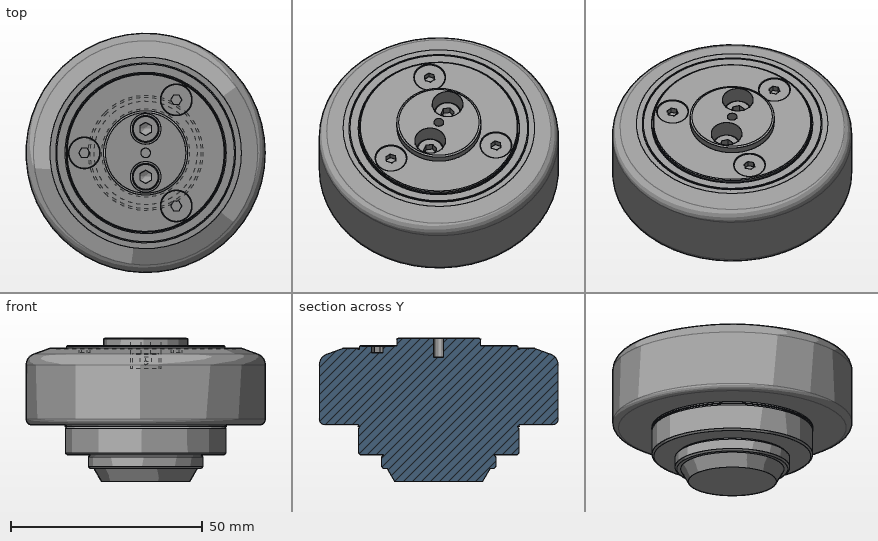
import cadquery as cq
import math

TOTAL_HEIGHT = 37.5
CONE_TOP = 3.45
FLANGE_TOP = 7.0
HUB_TOP = 14.45
TYRE_BOTTOM = 14.8
TYRE_TOP = 34.9
PLATE_TOP = 35.5

TYRE_RADIUS = 31.25
SHOULDER_INNER_RADIUS = 25.0
SHOULDER_SLOPE = math.radians(20)
SHOULDER_ROUND = 3.0
RIM_ROUND = 1.5

COLLAR_RADIUS = 42.1 / 2
HUB_RADIUS = 42.0 / 2
FLANGE_RADIUS = 30.0 / 2
FOOT_TOP_RADIUS = 13.5
FOOT_BOTTOM_RADIUS = 11.5
EDGE_CHAMFER = 0.5
HUB_TOP_CHAMFER_WIDTH = 0.4

PLATE_RADIUS = 41.5 / 2
PLATE_CHAMFER = 0.25
BOSS_RADIUS = 22.0 / 2
BOSS_CHAMFER_WIDTH = 0.5
BOSS_CHAMFER_HEIGHT = 0.2

PLATE_GAP_RADIUS = 42.1 / 2
PLATE_GAP_DEPTH = 0.25

RING_GROOVE_OUTER_RADIUS = 47.0 / 2
RING_GROOVE_WIDTH = 0.3
RING_GROOVE_DEPTH = 0.2

COVER_SCREW_COUNT = 3
COVER_SCREW_CIRCLE_RADIUS = 16.0
COVER_SCREW_HEAD_RADIUS = 8.0 / 2
COVER_SCREW_RIM_RADIUS = 8.3 / 2
COVER_SCREW_HEAD_DEPTH = 0.2
COVER_HEX_FLATS = 2.5
COVER_HEX_DEPTH = 1.6

BOSS_SCREW_OFFSET = 6.25
BOSS_SCREW_HOLE = 8.0
BOSS_SCREW_HEAD = 7.0
BOSS_SCREW_HEAD_HEIGHT = 4.0
BOSS_SCREW_HEAD_DEPTH = 4.0
BOSS_SCREW_CHAMFER = 0.25
BOSS_HEX_FLATS = 3.0
BOSS_HEX_DEPTH = 2.0
BOSS_HEX_TURN = 30
BOSS_HEX_TIP_SLOPE = math.radians(30)

CENTRE_HOLE = 2.5
CENTRE_HOLE_DEPTH = 5.0


def disc(radius, bottom, top):
    return cq.Workplane("XY").workplane(offset=bottom).circle(radius).extrude(top - bottom)


def cone(bottom_radius, top_radius, bottom, top):
    start = cq.Vector(0, 0, bottom)
    return cq.Workplane(cq.Solid.makeCone(bottom_radius, top_radius, top - bottom, start))


def corner_distance(flats):
    """Distance across the corners of a hexagon with the given distance across its flats."""
    return flats / math.cos(math.pi / 6)


def hex_prism(flats, bottom, top):
    corners = corner_distance(flats)
    return cq.Workplane("XY").workplane(offset=bottom).polygon(6, corners).extrude(top - bottom)


def make_tyre():
    """Revolved wheel whose shoulder slope runs tangent into the round."""
    round_centre_radius = TYRE_RADIUS - SHOULDER_ROUND
    slope_end_radius = round_centre_radius + SHOULDER_ROUND * math.sin(SHOULDER_SLOPE)
    slope_end_height = TYRE_TOP - (slope_end_radius - SHOULDER_INNER_RADIUS) * math.tan(SHOULDER_SLOPE)
    round_centre_height = slope_end_height - SHOULDER_ROUND * math.cos(SHOULDER_SLOPE)
    middle_angle = (math.pi / 2 - SHOULDER_SLOPE) / 2
    round_middle = (
        round_centre_radius + SHOULDER_ROUND * math.cos(middle_angle),
        round_centre_height + SHOULDER_ROUND * math.sin(middle_angle),
    )
    return (
        cq.Workplane("XZ")
        .moveTo(0, TYRE_BOTTOM)
        .lineTo(TYRE_RADIUS - RIM_ROUND, TYRE_BOTTOM)
        .radiusArc((TYRE_RADIUS, TYRE_BOTTOM + RIM_ROUND), -RIM_ROUND)
        .lineTo(TYRE_RADIUS, round_centre_height)
        .threePointArc(round_middle, (slope_end_radius, slope_end_height))
        .lineTo(SHOULDER_INNER_RADIUS, TYRE_TOP)
        .lineTo(0, TYRE_TOP)
        .close()
        .revolve(360, (0, 0, 0), (0, 1, 0))
    )


def make_lower_steps():
    foot = cone(FOOT_BOTTOM_RADIUS, FOOT_TOP_RADIUS, 0, CONE_TOP)
    flange = disc(FLANGE_RADIUS, CONE_TOP, FLANGE_TOP).edges().chamfer(EDGE_CHAMFER)
    hub = disc(HUB_RADIUS, FLANGE_TOP, HUB_TOP).faces("<Z").edges().chamfer(EDGE_CHAMFER)
    hub = hub.faces(">Z").edges().chamfer(EDGE_CHAMFER, HUB_TOP_CHAMFER_WIDTH)
    collar = disc(COLLAR_RADIUS, HUB_TOP, TYRE_BOTTOM)
    return foot.union(flange).union(hub).union(collar)


def make_cover_and_boss():
    plate = disc(PLATE_RADIUS, TYRE_TOP, PLATE_TOP).faces(">Z").edges().chamfer(PLATE_CHAMFER)
    boss = (
        disc(BOSS_RADIUS, PLATE_TOP, TOTAL_HEIGHT)
        .faces(">Z")
        .edges()
        .chamfer(BOSS_CHAMFER_HEIGHT, BOSS_CHAMFER_WIDTH)
    )
    return plate.union(boss)


def plate_gap_cut():
    bottom = TYRE_TOP - PLATE_GAP_DEPTH
    return disc(PLATE_GAP_RADIUS, bottom, TYRE_TOP).cut(disc(PLATE_RADIUS, bottom, TYRE_TOP))


def ring_groove_cut():
    bottom = TYRE_TOP - RING_GROOVE_DEPTH
    inner_radius = RING_GROOVE_OUTER_RADIUS - RING_GROOVE_WIDTH
    core = cone(RING_GROOVE_OUTER_RADIUS, inner_radius, bottom, TYRE_TOP)
    return disc(RING_GROOVE_OUTER_RADIUS, bottom, TYRE_TOP).cut(core)


def cover_screw_cut():
    """Countersunk rim down to a flat screw head, with its hexagon socket."""
    head_top = PLATE_TOP - COVER_SCREW_HEAD_DEPTH
    rim = cone(COVER_SCREW_HEAD_RADIUS, COVER_SCREW_RIM_RADIUS, head_top, PLATE_TOP)
    return rim.union(hex_prism(COVER_HEX_FLATS, head_top - COVER_HEX_DEPTH, PLATE_TOP))


def boss_screw_cut():
    """Deep round hole with a socket screw head left standing in it."""
    head_top = TOTAL_HEIGHT - BOSS_SCREW_HEAD_DEPTH
    hole_bottom = head_top - BOSS_SCREW_HEAD_HEIGHT
    hex_bottom = head_top - BOSS_HEX_DEPTH
    head = disc(BOSS_SCREW_HEAD / 2, hole_bottom, head_top).faces(">Z").edges().chamfer(BOSS_SCREW_CHAMFER)
    socket = hex_prism(BOSS_HEX_FLATS, hex_bottom, head_top)
    corner_radius = corner_distance(BOSS_HEX_FLATS) / 2
    tip_depth = corner_radius * math.tan(BOSS_HEX_TIP_SLOPE)
    tip = cone(0, corner_radius, hex_bottom - tip_depth, hex_bottom)
    tip = tip.intersect(hex_prism(BOSS_HEX_FLATS, hex_bottom - tip_depth, hex_bottom))
    socket = socket.union(tip).rotate((0, 0, 0), (0, 0, 1), BOSS_HEX_TURN)
    hole = disc(BOSS_SCREW_HOLE / 2, hole_bottom, TOTAL_HEIGHT)
    return hole.cut(head).union(socket)


result = make_tyre().union(make_lower_steps()).union(make_cover_and_boss())
result = result.cut(plate_gap_cut()).cut(ring_groove_cut())

for index in range(COVER_SCREW_COUNT):
    angle = math.pi + index * 2 * math.pi / COVER_SCREW_COUNT
    position = (
        COVER_SCREW_CIRCLE_RADIUS * math.cos(angle),
        COVER_SCREW_CIRCLE_RADIUS * math.sin(angle),
        0,
    )
    result = result.cut(cover_screw_cut().translate(position))

for side in (-1, 1):
    result = result.cut(boss_screw_cut().translate((0, side * BOSS_SCREW_OFFSET, 0)))

result = result.cut(disc(CENTRE_HOLE / 2, TOTAL_HEIGHT - CENTRE_HOLE_DEPTH, TOTAL_HEIGHT))